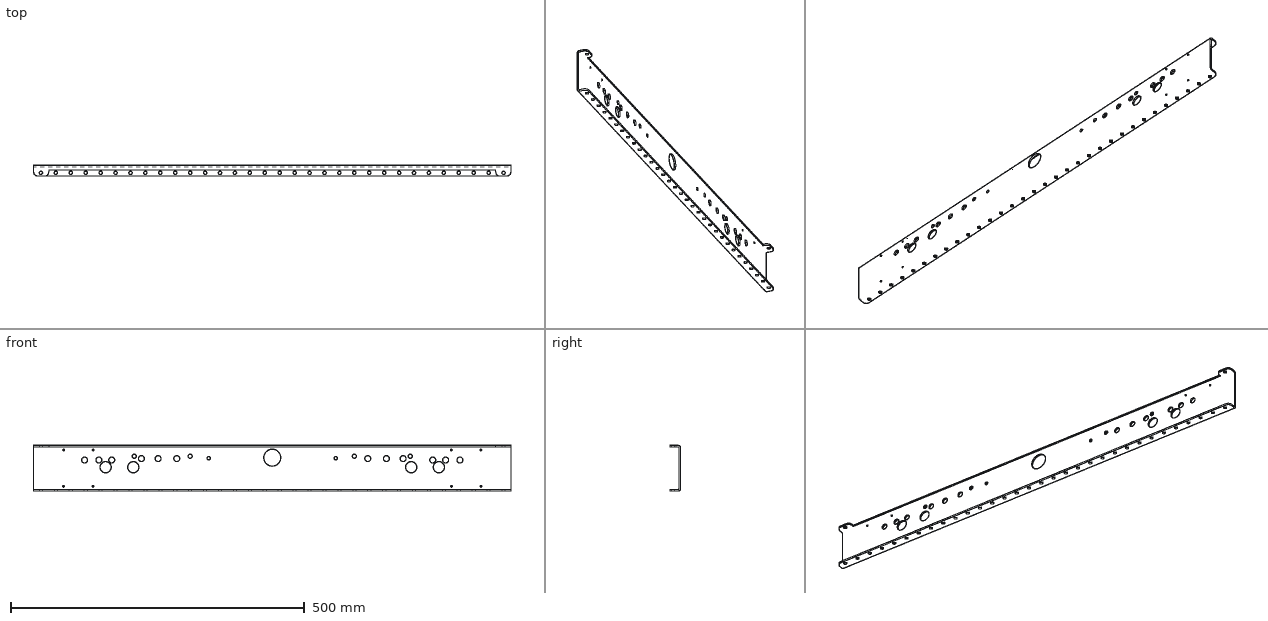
import cadquery as cq

length = 813.0
depth = 19.0
height = 78.0
thickness = 3.0
inner_bend_radius = 1.5
outer_bend_radius = inner_bend_radius + thickness

narrow_flange_depth = 8.0
tab_length = 26.0
corner_radius = 7.0

flange_hole_diameter = 5.4
flange_hole_pitch = 25.4
flange_hole_count = 32
flange_hole_edge_distance = 6.0

pin_hole_diameter = 2.5
pin_hole_places = [(x, z) for x in (305.0, 355.0) for z in (-31.0, 31.0)]
mirrored_web_holes = [
    (pin_hole_diameter, pin_hole_places),
    (5.4, [(108.0, 17.0)]),
    (6.75, [(140.0, 20.0), (235.0, 20.0)]),
    (10.0, [(162.5, 16.0), (194.0, 16.0), (223.0, 16.0), (273.0, 14.0), (295.0, 14.0), (319.5, 14.0)]),
    (19.0, [(236.5, 2.0), (284.0, 2.0)]),
]
center_hole_diameter = 28.5
center_hole_height = 18.0

back = depth / 2
front = -depth / 2


def make_channel():
    """Bent U section with rounded flange corners, full depth along its length."""
    outer = cq.Workplane("XY").box(length, depth, height)
    outer = outer.edges("|X and >Y").fillet(outer_bend_radius)
    inner = cq.Workplane("XY").box(length, depth, height - 2 * thickness)
    inner = inner.edges("|X and >Y").fillet(inner_bend_radius)
    channel = outer.cut(inner.translate((0, -thickness, 0)))
    return channel.edges("|Z and <Y").fillet(corner_radius)


def upper_flange_relief():
    """Block that narrows the upper flange between the two end tabs."""
    relief_length = length - 2 * tab_length
    relief_depth = depth - narrow_flange_depth
    relief_height = height / 4
    relief = cq.Workplane("XY").box(relief_length, relief_depth, relief_height)
    return relief.translate((0, front + relief_depth / 2, height / 2))


def web_holes(diameter, places):
    """Cutters running along Y through the web."""
    return (
        cq.Workplane("XZ", origin=(0, back + thickness, 0))
        .pushPoints(places)
        .circle(diameter / 2)
        .extrude(depth)
    )


def flange_holes():
    """Evenly spaced vertical cutters through both flanges."""
    return (
        cq.Workplane("XY")
        .center(0, front + flange_hole_edge_distance)
        .rarray(flange_hole_pitch, 8, flange_hole_count, 1)
        .circle(flange_hole_diameter / 2)
        .extrude(height, both=True)
    )


result = make_channel().cut(upper_flange_relief())
tab_inner_corners = cq.selectors.BoxSelector(
    (-length / 2 + 2 * corner_radius, front - thickness, height / 4),
    (length / 2 - 2 * corner_radius, front + thickness, height),
)
result = result.edges("|Z").edges(tab_inner_corners).fillet(corner_radius)
result = result.cut(flange_holes())
for diameter, places in mirrored_web_holes:
    mirrored_places = [(-x, z) for x, z in places]
    result = result.cut(web_holes(diameter, places + mirrored_places))
result = result.cut(web_holes(center_hole_diameter, [(0, center_hole_height)]))